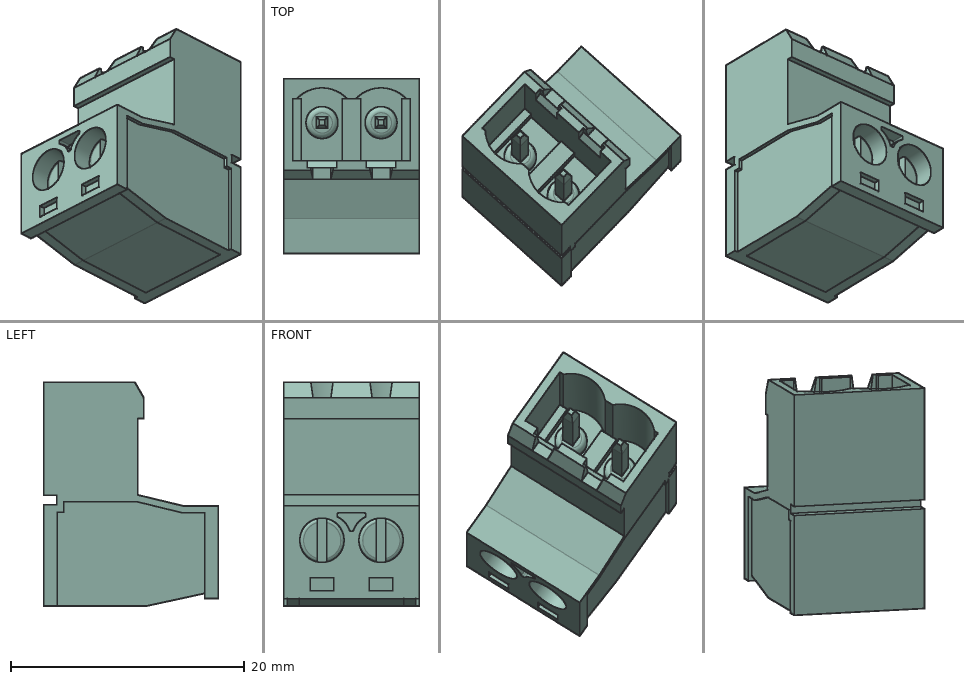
import cadquery as cq
import math


WIDTH = 11.65
DEPTH = 15.0
HEIGHT = 19.2
POLE_X = 2.53
POLE_CENTERS = (-POLE_X, POLE_X)
PIN_Y = -3.76

SOCKET_DEPTH = 8.08
LIP_DEPTH = 8.6
LIP_TOP_DEPTH = 7.83
LIP_BOTTOM_Z = 16.07
LIP_CHAMFER_Z = 17.88
CAVITY_WIDTH = 10.1
CAVITY_BACK_Y = -1.7
CAVITY_FRONT_Y = -7.05
FLOOR_Z = 10.56
ROUND_RADIUS = 2.98
RIB_TOP_Z = 11.52
CHANNEL_WIDTH = 3.51

NOTCH_FLOOR_WIDTH = 1.54
NOTCH_TOP_WIDTH = 1.9
RELIEF_WIDTH = 2.5
RELIEF_DEPTH = 0.58

SHOULDER_Z = 9.55
BLOCK_TOP_Z = 8.6
BLOCK_TOP_DEPTH = 11.96
PLATE_THICKNESS = 1.2
PLATE_BOTTOM_Z = 0.63
BELLY_DEPTH = 8.85
BELLY_FRONT_Z = 1.08
GROOVE_BOTTOM_Z = 8.7
GROOVE_TOP_Z = 9.48
GROOVE_DEPTH = 1.11

PANEL_TOP_Z = 8.93
PANEL_BACK_Z = 8.06
PANEL_BACK_DEPTH = 1.73
PANEL_EDGE = 0.61
PANEL_RECESS = 0.3
INSERT_WIDTH = 8.99
INSERT_HEIGHT = 3.07

SCREW_Z = 5.65
SCREW_DIAMETER = 3.8
SCREW_SINK = 1.63
SCREW_LENGTH = 2.3
SCREW_FILLET = 0.3
SLOT_WIDTH = 0.8
SLOT_DEPTH = 0.77

WINDOW_WIDTH = 2.04
WINDOW_HEIGHT = 1.1
WINDOW_Z = 1.88
WINDOW_DEPTH = 0.5
ARROW_TOP_Z = 7.99
ARROW_SIDE_Z = 7.66
ARROW_TIP_Z = 6.43
ARROW_HALF_WIDTH = 1.23
ARROW_TIP_HALF_WIDTH = 0.15
ARROW_SIDE_RADIUS = 1.98
ARROW_DEPTH = PLATE_THICKNESS
ARROW_FILLET = 0.13

PIN_SIZE = 1.0
PIN_TIP_SIZE = 0.48
PIN_TIP_LENGTH = 1.0
PIN_TOP_Z = 17.84
PIN_BOTTOM_Z = 9.4
COLLAR_DIAMETER = 2.75
COLLAR_HEIGHT = 0.96
COLLAR_FILLET = 0.5

FRONT_Y = -DEPTH
PLATE_BACK_Y = FRONT_Y + PLATE_THICKNESS


def side_prism(points, width):
    """Extrude a (Y, Z) outline symmetrically about X = 0."""
    return cq.Workplane("YZ").polyline(points).close().extrude(width / 2, both=True)


def box(x, y_back, z_bottom, width, y_front, z_top):
    """Box centred on x, spanning the given Y and Z limits."""
    return (
        cq.Workplane("XY")
        .box(width, y_back - y_front, z_top - z_bottom, centered=(True, False, False))
        .translate((x, y_front, z_bottom))
    )


def front_cylinder(x, y_front, length):
    """Cylinder of screw diameter running back from y_front along a screw axis."""
    plane = cq.Workplane("XZ", origin=(x, y_front, SCREW_Z))
    return plane.circle(SCREW_DIAMETER / 2).extrude(-length)


PANEL_OUTLINE = [
    (-PLATE_THICKNESS, 0),
    (-PLATE_THICKNESS, PANEL_BACK_Z),
    (-PANEL_BACK_DEPTH, PANEL_BACK_Z),
    (-PANEL_BACK_DEPTH, PANEL_TOP_Z),
    (-SOCKET_DEPTH, PANEL_TOP_Z),
    (-BLOCK_TOP_DEPTH, BLOCK_TOP_Z - PANEL_EDGE),
    (PLATE_BACK_Y, BLOCK_TOP_Z - PANEL_EDGE),
    (PLATE_BACK_Y, BELLY_FRONT_Z),
    (-BELLY_DEPTH, 0),
]


def housing_blank():
    outline = [
        (0, 0),
        (0, GROOVE_BOTTOM_Z),
        (-GROOVE_DEPTH, GROOVE_BOTTOM_Z),
        (-GROOVE_DEPTH, GROOVE_TOP_Z),
        (0, GROOVE_TOP_Z),
        (0, HEIGHT),
        (-LIP_TOP_DEPTH, HEIGHT),
        (-LIP_DEPTH, LIP_CHAMFER_Z),
        (-LIP_DEPTH, LIP_BOTTOM_Z),
        (-SOCKET_DEPTH, LIP_BOTTOM_Z),
        (-SOCKET_DEPTH, SHOULDER_Z),
        (-BLOCK_TOP_DEPTH, BLOCK_TOP_Z),
        (FRONT_Y, BLOCK_TOP_Z),
        (FRONT_Y, PLATE_BOTTOM_Z),
        (PLATE_BACK_Y, PLATE_BOTTOM_Z),
        (PLATE_BACK_Y, BELLY_FRONT_Z),
        (-BELLY_DEPTH, 0),
    ]
    return side_prism(outline, WIDTH)


def side_panel_recesses():
    panel = side_prism(PANEL_OUTLINE, WIDTH)
    core = side_prism(PANEL_OUTLINE, WIDTH - 2 * PANEL_RECESS)
    return panel.cut(core)


def socket_cavity():
    """Rectangular cavity with a rounded bay behind each pin and raised ribs on its floor."""
    cavity = box(0, CAVITY_BACK_Y, FLOOR_Z, CAVITY_WIDTH, CAVITY_FRONT_Y, HEIGHT)
    ribs = box(0, CAVITY_BACK_Y, FLOOR_Z, CAVITY_WIDTH, CAVITY_FRONT_Y, RIB_TOP_Z)
    for x in POLE_CENTERS:
        disc = cq.Workplane("XY", origin=(x, PIN_Y, FLOOR_Z)).circle(ROUND_RADIUS).extrude(HEIGHT - FLOOR_Z)
        bay = disc.intersect(box(x, 0, FLOOR_Z, 2 * ROUND_RADIUS, CAVITY_BACK_Y, HEIGHT))
        cavity = cavity.union(bay)
        ribs = ribs.cut(box(x, CAVITY_BACK_Y, FLOOR_Z, CHANNEL_WIDTH, CAVITY_FRONT_Y, RIB_TOP_Z))
    return cavity.cut(ribs)


def wall_notch(x):
    """Flared notch through the lip, with a wider relief that slopes down into the cavity."""
    relief_front_y = CAVITY_FRONT_Y - RELIEF_DEPTH
    notch = (
        cq.Workplane("XZ", origin=(x, relief_front_y, 0))
        .polyline([
            (-NOTCH_FLOOR_WIDTH / 2, LIP_CHAMFER_Z),
            (NOTCH_FLOOR_WIDTH / 2, LIP_CHAMFER_Z),
            (NOTCH_TOP_WIDTH / 2, HEIGHT),
            (-NOTCH_TOP_WIDTH / 2, HEIGHT),
        ])
        .close()
        .extrude(LIP_DEPTH + relief_front_y)
    )
    relief = side_prism(
        [
            (CAVITY_FRONT_Y, LIP_CHAMFER_Z - RELIEF_DEPTH),
            (relief_front_y, LIP_CHAMFER_Z),
            (relief_front_y, HEIGHT),
            (CAVITY_FRONT_Y, HEIGHT),
        ],
        RELIEF_WIDTH,
    )
    return notch.union(relief.translate((x, 0, 0)))


def test_window(x):
    """Shallow rectangular recess below a screw."""
    z_bottom = WINDOW_Z - WINDOW_HEIGHT / 2
    return box(x, FRONT_Y + WINDOW_DEPTH, z_bottom, WINDOW_WIDTH, FRONT_Y, z_bottom + WINDOW_HEIGHT)


def arrow_mark():
    """Down-pointing arrow pocket with sides curved round the screw holes."""
    chord_x = ARROW_HALF_WIDTH - ARROW_TIP_HALF_WIDTH
    chord_z = ARROW_SIDE_Z - ARROW_TIP_Z
    chord = math.hypot(chord_x, chord_z)
    bulge = ARROW_SIDE_RADIUS - math.sqrt(ARROW_SIDE_RADIUS**2 - (chord / 2) ** 2)
    mid_x = (ARROW_HALF_WIDTH + ARROW_TIP_HALF_WIDTH) / 2 - bulge * chord_z / chord
    mid_z = (ARROW_SIDE_Z + ARROW_TIP_Z) / 2 + bulge * chord_x / chord
    return (
        cq.Workplane("XZ", origin=(0, FRONT_Y, 0))
        .moveTo(-ARROW_HALF_WIDTH, ARROW_TOP_Z)
        .lineTo(ARROW_HALF_WIDTH, ARROW_TOP_Z)
        .lineTo(ARROW_HALF_WIDTH, ARROW_SIDE_Z)
        .threePointArc((mid_x, mid_z), (ARROW_TIP_HALF_WIDTH, ARROW_TIP_Z))
        .lineTo(-ARROW_TIP_HALF_WIDTH, ARROW_TIP_Z)
        .threePointArc((-mid_x, mid_z), (-ARROW_HALF_WIDTH, ARROW_SIDE_Z))
        .close()
        .extrude(-ARROW_DEPTH)
        .edges("|Y")
        .fillet(ARROW_FILLET)
    )


def make_housing():
    housing = (
        housing_blank()
        .cut(side_panel_recesses())
        .cut(make_insert())
        .cut(socket_cavity())
        .cut(arrow_mark())
    )
    for x in POLE_CENTERS:
        housing = housing.cut(wall_notch(x))
        housing = housing.cut(front_cylinder(x, FRONT_Y, SCREW_SINK + SCREW_LENGTH))
        housing = housing.cut(test_window(x))
        housing = housing.cut(pin_shaft(x))
    return housing


def make_insert():
    """Plug between the front and back plates, flush with the underside."""
    outline = [
        (-PLATE_THICKNESS, 0),
        (-PLATE_THICKNESS, INSERT_HEIGHT),
        (PLATE_BACK_Y, INSERT_HEIGHT),
        (PLATE_BACK_Y, BELLY_FRONT_Z),
        (-BELLY_DEPTH, 0),
    ]
    return side_prism(outline, INSERT_WIDTH)


def make_screw(x):
    """Slotted screw sunk below the front face."""
    head_y = FRONT_Y + SCREW_SINK
    screw = front_cylinder(x, head_y, SCREW_LENGTH).faces("<Y").edges().fillet(SCREW_FILLET)
    z_bottom = SCREW_Z - SCREW_DIAMETER / 2
    slot = box(x, head_y + SLOT_DEPTH, z_bottom, SLOT_WIDTH, head_y, z_bottom + SCREW_DIAMETER)
    return screw.cut(slot)


def pin_shaft(x):
    """Square shank of a pin, below its tapered tip."""
    plane = cq.Workplane("XY", origin=(x, PIN_Y, PIN_BOTTOM_Z))
    return plane.rect(PIN_SIZE, PIN_SIZE).extrude(PIN_TOP_Z - PIN_TIP_LENGTH - PIN_BOTTOM_Z)


def make_pin(x):
    return (
        pin_shaft(x)
        .faces(">Z")
        .workplane()
        .rect(PIN_SIZE, PIN_SIZE)
        .workplane(offset=PIN_TIP_LENGTH)
        .rect(PIN_TIP_SIZE, PIN_TIP_SIZE)
        .loft(combine=True)
    )


def make_collar(x):
    """Round-topped collar on the socket floor, with the pin passing through it."""
    collar = (
        cq.Workplane("XY", origin=(x, PIN_Y, FLOOR_Z))
        .circle(COLLAR_DIAMETER / 2)
        .extrude(COLLAR_HEIGHT)
        .faces(">Z")
        .edges()
        .fillet(COLLAR_FILLET)
    )
    return collar.cut(pin_shaft(x))


housing = make_housing()
insert = make_insert()
screws = [make_screw(x) for x in POLE_CENTERS]
pins = [make_pin(x) for x in POLE_CENTERS]
collars = [make_collar(x) for x in POLE_CENTERS]

bodies = [housing, insert, *screws, *pins, *collars]
result = cq.Compound.makeCompound([body.val() for body in bodies])